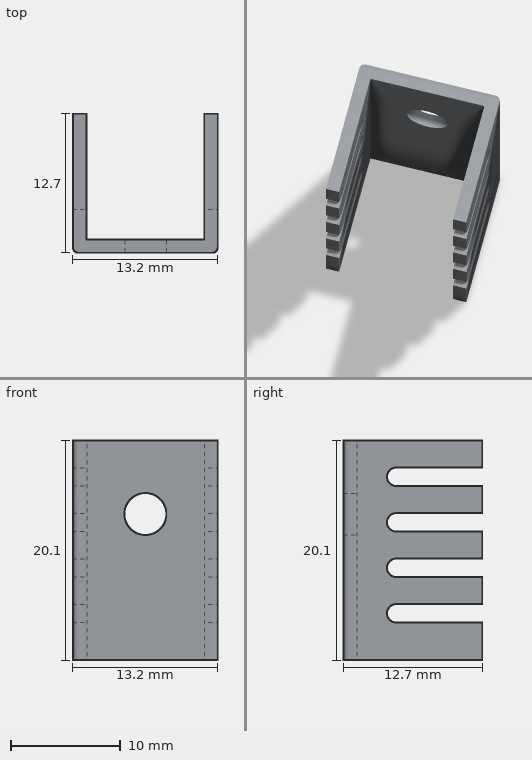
import cadquery as cq

width = 13.21
depth = 12.7
height = 20.05
wall = 1.25
corner_radius = 0.5

hole_diameter = 3.8
hole_height = 13.33

slot_count = 4
slot_width = 1.66
fin_height = 2.49
slot_depth = 8.7
slot_pitch = fin_height + slot_width


def make_channel():
    """U-shaped channel, open towards +Y, with rounded outer corners."""
    body = cq.Workplane("XY").box(width, depth, height, centered=(True, False, False))
    body = body.edges("|Z and <Y").fillet(corner_radius)
    cavity = (
        cq.Workplane("XY")
        .box(width - 2 * wall, depth - wall, height, centered=(True, False, False))
        .translate((0, wall, 0))
    )
    return body.cut(cavity)


def make_hole():
    """Cylinder running along Y through the back plate."""
    return (
        cq.Workplane("XZ")
        .center(0, hole_height)
        .circle(hole_diameter / 2)
        .extrude(-wall)
    )


def make_slot(center_height):
    """Round-ended slot through both side walls, open at the +Y edge."""
    radius = slot_width / 2
    round_start = depth - slot_depth + radius
    return (
        cq.Workplane("YZ")
        .moveTo(depth, center_height - radius)
        .lineTo(round_start, center_height - radius)
        .threePointArc(
            (depth - slot_depth, center_height),
            (round_start, center_height + radius),
        )
        .lineTo(depth, center_height + radius)
        .close()
        .extrude(width / 2, both=True)
    )


result = make_channel().cut(make_hole())
top_slot_height = height - fin_height - slot_width / 2
for index in range(slot_count):
    result = result.cut(make_slot(top_slot_height - index * slot_pitch))